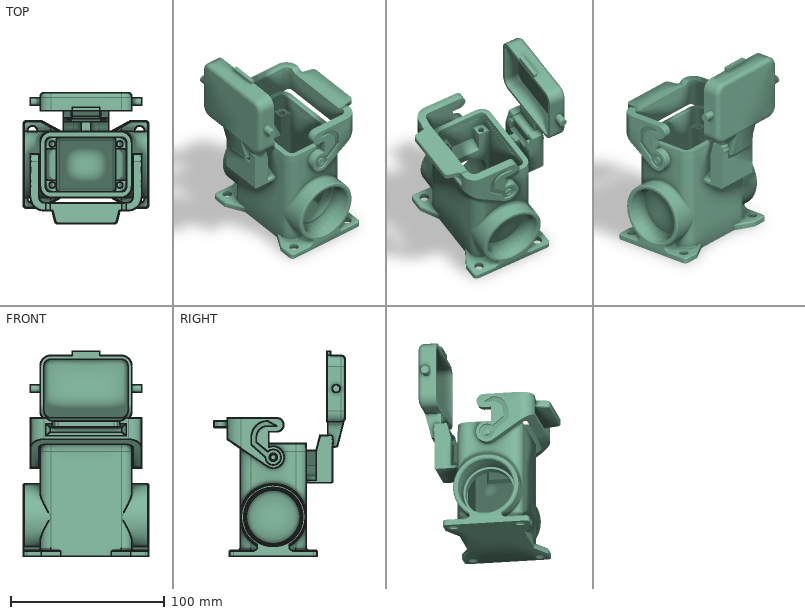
import cadquery as cq
import math

BODY_X, BODY_Y = 60.0, 43.4
BODY_CORNER = 7.1
BODY_TOP = 73.8
RIM_HEIGHT = 5.1
RIM_DRAFT = 3.0
WALL_X, WALL_Y = 3.5, 3.9
MOUTH_CORNER = 3.5
LEDGE = 0.1

POST_TOP = 62.2
POST_LENGTH, POST_WIDTH = 7.1, 7.6
POST_EDGE = 1.6
POST_HOLE_X, POST_HOLE_Y = 22.1, 13.4
POST_HOLE_DIA, POST_HOLE_DEPTH = 4.0, 10.7
SLOPE_TOP, SLOPE_BOTTOM = 52.3, 46.9
FLOOR = 3.4
WELL_CORNER, FLOOR_FILLET = 2.0, 1.9

ENTRY_SPAN = 82.0
ENTRY_Z = 25.7
ENTRY_RADIUS = 21.7
ENTRY_BORE, ENTRY_BORE_END, ENTRY_HOLE = 18.5, 17.5, 16.1
ENTRY_EDGE = 0.8
WEB_WIDTH, WEB_FILLET = 20.9, 2.1

FOOT_Y = 28.7
FOOT_HEIGHT = 3.9
FOOT_FLAT_X, FOOT_ROOT_X = 29.3, 16.5
FOOT_CORNER, FOOT_EDGE, FOOT_FILLET = 2.4, 0.7, 1.2
FOOT_HOLE_X, FOOT_HOLE_Y, FOOT_HOLE_DIA = 35.0, 22.1, 6.2

LEVER_X = 72.6
LEVER_THICK = 5.5
LEVER_TOP = 90.5
LEVER_FRONT, LEVER_BAR_THICK = -30.2, 5.1
LEVER_CORNER, LEVER_INNER_CORNER = 8.8, 4.0
NOSE_Z = 76.5
PIVOT_Z = 64.7
PIVOT_RADIUS, PIVOT_PIN = 7.1, 2.5
PIN_SOCKET, PIN_SOCKET_DEPTH = 1.9, 0.7
HOOK_Y, HOOK_RADIUS = 2.3, 4.5
HOOK_NOTCH_Y = -2.8
GROOVE_DEPTH = 1.3
GROOVE_Y, GROOVE_Z = -3.8, 77.9
GROOVE_OUTER, GROOVE_INNER = 10.6, 7.2
GROOVE_HUB = 5.1
GROOVE_BEND = 5.0

HANDLE_TIP = -38.9
HANDLE_TOP, HANDLE_BOTTOM = 88.7, 84.2
HANDLE_ROOT_X, HANDLE_TIP_X = 23.3, 20.1
HANDLE_CORNER, HANDLE_EDGE = 2.7, 0.5
RECESS_X, RECESS_BACK_X = 26.3, 23.3
RECESS_BOTTOM, RECESS_DEPTH = 78.8, 3.5
RECESS_RISE = 2.4

LID_FRONT, LID_BACK = 35.0, 47.0
LID_CENTRE_Z = 109.6
LID_CORNER, LID_BACK_ROUND = 7.1, 3.0
LID_WALL, LID_FLOOR = 2.5, 1.7
LID_PIN_SPAN, LID_PIN_Y, LID_PIN_RADIUS = 73.2, 41.1, 2.5
TAB_X, TAB_THICK, TAB_TOP = 18.2, 2.5, 134.0

ARM_X = 18.2
ARM_HEEL_Y, ARM_HEEL_Z = 42.0, 71.8
ARM_TOE_Y, ARM_TOE_Z = 38.6, 71.0
ARM_ROOT_Y, ARM_ROOT_Z = 46.6, 90.3
BRACKET_X = 30.0
BRACKET_BACK, BRACKET_NECK_Y = 38.7, 28.0
BRACKET_TOP, BRACKET_BOTTOM = 79.0, 48.0
BRACKET_TOP_FRONT, BRACKET_EDGE = 30.5, 0.8
HINGE_SLOT_FLOOR = 67.0
HINGE_GAP = 0.5
PANEL_Y = 31.6
KNUCKLE_Y, KNUCKLE_Z, KNUCKLE_RADIUS = 31.9, 76.5, 1.9
EAR_POCKET_X, EAR_POCKET_Y = 12.6, 32.8
EAR_POCKET_BOTTOM, EAR_POCKET_TOP = 73.4, 77.2
HINGE_PIN_Y, HINGE_PIN_Z, HINGE_PIN_RADIUS = 37.5, 75.0, 1.7
NECK_TOP, NECK_FILLET_TOP, NECK_FILLET_END, NECK_EDGE = 69.1, 59.5, 53.0, 49.7
NECK_HALF, NECK_FILLET_X = 3.2, 8.5

half_x, half_y = BODY_X / 2, BODY_Y / 2
mouth_x, mouth_y = BODY_X - 2 * WALL_X, BODY_Y - 2 * WALL_Y
well_x = mouth_x - 2 * POST_LENGTH
entry_end = ENTRY_SPAN / 2
lever_half = LEVER_X / 2
lever_inner = lever_half - LEVER_THICK
CUT = 26.8


def box(x0, x1, y0, y1, z0, z1):
    return cq.Workplane("XY").box(x1 - x0, y1 - y0, z1 - z0, centered=False).translate((x0, y0, z0))


def cylinder_x(radius, x0, x1, y, z):
    return cq.Workplane("YZ", origin=(x0, 0, 0)).center(y, z).circle(radius).extrude(x1 - x0)


def rounded_block(size_x, size_y, corner, z0, z1, taper=0.0):
    outline = cq.Sketch().rect(size_x, size_y).vertices().fillet(corner)
    return cq.Workplane("XY", origin=(0, 0, z0)).placeSketch(outline).extrude(z1 - z0, taper=taper)


def all_corners(part):
    """Repeat a part made in the +X +Y quarter in the other three quarters."""
    pair = part.union(part.mirror("YZ"))
    return pair.union(pair.mirror("XZ"))


def make_foot_plate():
    """One end plate with two lugs, on the +X side."""
    lug = [
        (0, half_y - BODY_CORNER), (FOOT_ROOT_X, half_y), (FOOT_FLAT_X, FOOT_Y), (entry_end, FOOT_Y),
    ]
    outline = lug + [(x, -y) for x, y in reversed(lug)]
    plate = cq.Workplane("XY").polyline(outline).close().extrude(FOOT_HEIGHT)
    plate = plate.edges("|Z and >X").fillet(FOOT_CORNER)
    plate = plate.faces(">Z").edges().chamfer(FOOT_EDGE)
    holes = [(FOOT_HOLE_X, FOOT_HOLE_Y), (FOOT_HOLE_X, -FOOT_HOLE_Y)]
    return plate.cut(cq.Workplane("XY").pushPoints(holes).circle(FOOT_HOLE_DIA / 2).extrude(FOOT_HEIGHT))


def make_entry():
    """Solid cable-entry boss on the +X side with the web that stands on the foot plate."""
    boss = cylinder_x(ENTRY_RADIUS, 0, entry_end, 0, ENTRY_Z).faces(">X").chamfer(ENTRY_EDGE)
    half_web, foot_top = WEB_WIDTH / 2, FOOT_HEIGHT
    web_top = ENTRY_Z - ENTRY_RADIUS / 2
    web = (
        cq.Workplane("YZ")
        .moveTo(-half_web - WEB_FILLET, foot_top)
        .radiusArc((-half_web, foot_top + WEB_FILLET), -WEB_FILLET)
        .lineTo(-half_web, web_top)
        .lineTo(half_web, web_top)
        .lineTo(half_web, foot_top + WEB_FILLET)
        .radiusArc((half_web + WEB_FILLET, foot_top), -WEB_FILLET)
        .lineTo(half_web + WEB_FILLET, foot_top - FOOT_EDGE)
        .lineTo(-half_web - WEB_FILLET, foot_top - FOOT_EDGE)
        .close()
        .extrude(entry_end)
    )
    return boss.union(web)


def make_foot_fillet():
    """Concave fillet between one rounded body corner and the foot below it."""
    centre_x, centre_y = half_x - BODY_CORNER, half_y - BODY_CORNER
    ring = (
        cq.Workplane("XZ")
        .moveTo(BODY_CORNER, FOOT_HEIGHT)
        .lineTo(BODY_CORNER + FOOT_FILLET, FOOT_HEIGHT)
        .radiusArc((BODY_CORNER, FOOT_HEIGHT + FOOT_FILLET), FOOT_FILLET)
        .close()
        .revolve(90, (0, 0, 0), (0, 1, 0))
    )
    return ring.translate((centre_x, centre_y, 0))


def make_bore():
    """Outer bore of the +X entry, ending at the cavity wall."""
    bore_end = mouth_x / 2
    return (
        cq.Workplane("XZ")
        .polyline([
            (bore_end, 0), (bore_end, ENTRY_BORE_END), (entry_end - ENTRY_EDGE, ENTRY_BORE),
            (entry_end, ENTRY_BORE + ENTRY_EDGE), (entry_end, 0),
        ])
        .close()
        .revolve(360, (0, 0, 0), (1, 0, 0))
        .translate((0, 0, ENTRY_Z))
    )


def make_cavity():
    rim_base = BODY_TOP - RIM_HEIGHT
    mouth = rounded_block(mouth_x, mouth_y, MOUTH_CORNER, rim_base, BODY_TOP)
    throat_y = mouth_y - 2 * LEDGE
    throat = rounded_block(mouth_x - 2 * LEDGE, throat_y, MOUTH_CORNER, POST_TOP, rim_base)
    well = rounded_block(well_x, throat_y, WELL_CORNER, FLOOR, POST_TOP)
    well = well.faces("<Z").edges().fillet(FLOOR_FILLET)
    gap_y = mouth_y - 2 * POST_WIDTH
    side_gaps = (
        cq.Workplane("XZ", origin=(0, gap_y / 2, 0))
        .polyline([
            (-mouth_x / 2, POST_TOP), (-mouth_x / 2, SLOPE_TOP), (-well_x / 2, SLOPE_BOTTOM),
            (well_x / 2, SLOPE_BOTTOM), (mouth_x / 2, SLOPE_TOP), (mouth_x / 2, POST_TOP),
        ])
        .close()
        .extrude(gap_y)
        .edges("|Z").fillet(POST_EDGE)
    )
    hole = (
        cq.Workplane("XY", origin=(POST_HOLE_X, POST_HOLE_Y, POST_TOP))
        .circle(POST_HOLE_DIA / 2).extrude(-POST_HOLE_DEPTH)
    )
    return mouth.union(throat).union(well).union(side_gaps).union(all_corners(hole))


def make_housing():
    rim_base = BODY_TOP - RIM_HEIGHT
    body = rounded_block(BODY_X, BODY_Y, BODY_CORNER, 0, rim_base)
    body = body.union(rounded_block(BODY_X, BODY_Y, BODY_CORNER, rim_base, BODY_TOP, RIM_DRAFT))
    end, bore = make_foot_plate().union(make_entry()), make_bore()
    body = body.union(end).union(end.mirror("YZ"))
    body = body.union(all_corners(make_foot_fillet()))
    body = body.cut(bore).cut(bore.mirror("YZ"))
    open_side = cylinder_x(ENTRY_HOLE, -mouth_x / 2, -well_x / 2, 0, ENTRY_Z)
    return body.cut(make_cavity()).cut(open_side)


def make_lever_profile():
    """Side shape of the lever: hub, sloping lower edge, upright nose and open hook."""
    reach_y, reach_z = LEVER_FRONT, NOSE_Z - PIVOT_Z
    reach = math.hypot(reach_y, reach_z)
    tangent = math.atan2(reach_z, reach_y) + math.acos(PIVOT_RADIUS / reach)
    touch = (PIVOT_RADIUS * math.cos(tangent), PIVOT_Z + PIVOT_RADIUS * math.sin(tangent))
    hub_z = PIVOT_Z + math.sqrt(PIVOT_RADIUS**2 - HOOK_NOTCH_Y**2)
    hook_z = LEVER_TOP - HOOK_RADIUS
    return (
        cq.Workplane("YZ", origin=(-lever_half, 0, 0))
        .moveTo(LEVER_FRONT, NOSE_Z)
        .lineTo(LEVER_FRONT, LEVER_TOP)
        .lineTo(HOOK_Y, LEVER_TOP)
        .threePointArc((HOOK_Y + HOOK_RADIUS, hook_z), (HOOK_Y, hook_z - HOOK_RADIUS))
        .lineTo(HOOK_NOTCH_Y, hook_z - HOOK_RADIUS)
        .lineTo(HOOK_NOTCH_Y, hub_z)
        .threePointArc((PIVOT_RADIUS, PIVOT_Z), touch)
        .close()
        .extrude(LEVER_X)
    )


def make_groove():
    """Shallow groove in the +X lever arm, from the hub round to the hook."""
    floor = cq.Workplane("YZ", origin=(lever_half - GROOVE_DEPTH, 0, 0))
    diagonal = math.sqrt(0.5)
    band = (
        floor.moveTo(GROOVE_Y, GROOVE_Z + GROOVE_OUTER)
        .threePointArc(
            (GROOVE_Y - GROOVE_OUTER * diagonal, GROOVE_Z + GROOVE_OUTER * diagonal),
            (GROOVE_Y - GROOVE_OUTER, GROOVE_Z))
        .lineTo(GROOVE_Y - GROOVE_OUTER, GROOVE_Z - GROOVE_BEND)
        .lineTo(-GROOVE_HUB, PIVOT_Z)
        .lineTo(-GROOVE_HUB * diagonal, PIVOT_Z + GROOVE_HUB * diagonal)
        .lineTo(GROOVE_Y - GROOVE_INNER, GROOVE_Z - GROOVE_BEND + (GROOVE_OUTER - GROOVE_INNER) / 2)
        .lineTo(GROOVE_Y - GROOVE_INNER, GROOVE_Z)
        .threePointArc(
            (GROOVE_Y - GROOVE_INNER * diagonal, GROOVE_Z + GROOVE_INNER * diagonal),
            (GROOVE_Y, GROOVE_Z + GROOVE_INNER))
        .lineTo(HOOK_Y, GROOVE_Z + GROOVE_INNER)
        .close()
        .extrude(GROOVE_DEPTH)
    )
    hub = floor.center(0, PIVOT_Z).circle(GROOVE_HUB).extrude(GROOVE_DEPTH)
    return band.union(hub)


def make_handle():
    root_y = LEVER_FRONT + LEVER_BAR_THICK
    plate = (
        cq.Workplane("XY", origin=(0, 0, HANDLE_BOTTOM))
        .polyline([
            (-HANDLE_ROOT_X, root_y), (-HANDLE_TIP_X, HANDLE_TIP),
            (HANDLE_TIP_X, HANDLE_TIP), (HANDLE_ROOT_X, root_y),
        ])
        .close()
        .extrude(HANDLE_TOP - HANDLE_BOTTOM)
    )
    plate = plate.edges("|Z and <Y").fillet(HANDLE_CORNER)
    return plate.faces(">Z or <Z").edges("not >Y").chamfer(HANDLE_EDGE)


def make_lever():
    lever = make_lever_profile().edges("|Z and <Y").fillet(LEVER_CORNER)
    inside = box(-lever_inner, lever_inner, LEVER_FRONT + LEVER_BAR_THICK, CUT, 0, LEVER_TOP)
    lever = lever.cut(inside.edges("|Z and <Y").fillet(LEVER_INNER_CORNER))
    bar_back = LEVER_FRONT + LEVER_BAR_THICK
    notch = (
        cq.Workplane("XZ", origin=(0, bar_back, 0))
        .polyline([
            (-RECESS_X, LEVER_TOP), (-HANDLE_ROOT_X, HANDLE_TOP),
            (HANDLE_ROOT_X, HANDLE_TOP), (RECESS_X, LEVER_TOP),
        ])
        .close()
        .extrude(LEVER_BAR_THICK)
    )
    lever = lever.cut(notch)
    recess_back = LEVER_FRONT + RECESS_DEPTH
    recess = (
        cq.Workplane("YZ", origin=(-RECESS_X, 0, 0))
        .polyline([
            (LEVER_FRONT, RECESS_BOTTOM), (recess_back, RECESS_BOTTOM + RECESS_RISE),
            (recess_back, HANDLE_BOTTOM), (LEVER_FRONT, HANDLE_BOTTOM + RECESS_RISE),
        ])
        .close()
        .extrude(2 * RECESS_X)
    )
    recess_ends = (
        cq.Workplane("XY")
        .polyline([
            (-RECESS_X, LEVER_FRONT), (RECESS_X, LEVER_FRONT),
            (RECESS_BACK_X, recess_back), (-RECESS_BACK_X, recess_back),
        ])
        .close()
        .extrude(LEVER_TOP)
    )
    recess = recess.intersect(recess_ends)
    groove = make_groove()
    lever = lever.cut(recess).cut(groove).cut(groove.mirror("YZ")).union(make_handle())
    pin = cylinder_x(PIVOT_PIN, mouth_x / 2, lever_half, 0, PIVOT_Z)
    pin = pin.cut(cylinder_x(PIN_SOCKET, lever_half - PIN_SOCKET_DEPTH, lever_half, 0, PIVOT_Z))
    return lever.union(pin).union(pin.mirror("YZ"))


def make_lid():
    depth = LID_BACK - LID_FRONT

    def slab(inset, thickness):
        corner = LID_CORNER - inset
        outline = cq.Sketch().rect(BODY_X - 2 * inset, BODY_Y - 2 * inset).vertices().fillet(corner)
        return cq.Workplane("XZ", origin=(0, LID_FRONT, LID_CENTRE_Z)).placeSketch(outline).extrude(-thickness)

    lid = slab(0, depth).faces(">Y").edges().fillet(LID_BACK_ROUND)
    lid = lid.cut(slab(LID_WALL, depth - LID_FLOOR))
    pin = cylinder_x(LID_PIN_RADIUS, half_x - LID_WALL, LID_PIN_SPAN / 2, LID_PIN_Y, LID_CENTRE_Z)
    rim_top = LID_CENTRE_Z + half_y
    tab = box(-TAB_X / 2, TAB_X / 2, LID_FRONT, LID_FRONT + TAB_THICK, rim_top - LID_WALL, TAB_TOP)
    return lid.union(pin).union(pin.mirror("YZ")).union(tab)


def make_arm():
    """Hinge arm below the lid."""
    lid_bottom = LID_CENTRE_Z - half_y
    arm_front = LID_FRONT + HINGE_GAP
    arm = (
        cq.Workplane("YZ", origin=(-ARM_X / 2, 0, 0))
        .polyline([
            (ARM_ROOT_Y, ARM_ROOT_Z), (ARM_HEEL_Y, ARM_HEEL_Z), (ARM_TOE_Y, ARM_TOE_Z),
            (arm_front, BRACKET_TOP), (arm_front, lid_bottom + LID_WALL),
            (LID_BACK - LID_FLOOR, lid_bottom + LID_WALL), (LID_BACK - LID_FLOOR, ARM_ROOT_Z),
        ])
        .close()
        .extrude(ARM_X)
    )
    panel = box(-ARM_X / 2, ARM_X / 2, PANEL_Y, HINGE_PIN_Y, HINGE_SLOT_FLOOR, KNUCKLE_Z + KNUCKLE_RADIUS)
    knuckle = cylinder_x(KNUCKLE_RADIUS, -ARM_X / 2, ARM_X / 2, KNUCKLE_Y, KNUCKLE_Z)
    return arm.union(panel).union(knuckle)


def make_bracket():
    bracket = (
        cq.Workplane("YZ", origin=(-BRACKET_X / 2, 0, 0))
        .polyline([
            (BRACKET_BACK, BRACKET_BOTTOM), (BRACKET_BACK, BRACKET_TOP), (BRACKET_TOP_FRONT, BRACKET_TOP),
            (BRACKET_NECK_Y, NECK_TOP), (BRACKET_NECK_Y, BRACKET_BOTTOM),
        ])
        .close()
        .extrude(BRACKET_X)
        .faces(">Y").edges("|X").chamfer(BRACKET_EDGE)
    )
    slot_half = ARM_X / 2 + HINGE_GAP
    slot = box(-slot_half, slot_half, BRACKET_NECK_Y, BRACKET_BACK, HINGE_SLOT_FLOOR, BRACKET_TOP)
    pin = cylinder_x(HINGE_PIN_RADIUS, -BRACKET_X / 2, BRACKET_X / 2, HINGE_PIN_Y, HINGE_PIN_Z)
    pocket = box(
        -EAR_POCKET_X, EAR_POCKET_X, BRACKET_NECK_Y, EAR_POCKET_Y, EAR_POCKET_BOTTOM, EAR_POCKET_TOP)
    return bracket.cut(slot).cut(pocket).union(pin).union(make_neck())


def make_neck():
    """Rib flaring into sloped shoulders, joining the bracket to the housing."""
    edge = BRACKET_X / 2
    half = (
        cq.Workplane("XZ", origin=(0, BRACKET_NECK_Y, 0))
        .moveTo(0, BRACKET_BOTTOM)
        .lineTo(0, NECK_TOP)
        .lineTo(NECK_HALF, NECK_TOP)
        .lineTo(NECK_HALF, NECK_FILLET_TOP)
        .tangentArcPoint((NECK_FILLET_X, NECK_FILLET_END), relative=False)
        .lineTo(edge, NECK_EDGE)
        .lineTo(edge, BRACKET_BOTTOM)
        .close()
        .extrude(BRACKET_NECK_Y - mouth_y / 2 - WALL_Y / 2)
    )
    return half.union(half.mirror("YZ"))


result = make_housing().union(make_lever()).union(make_lid()).union(make_arm()).union(make_bracket())